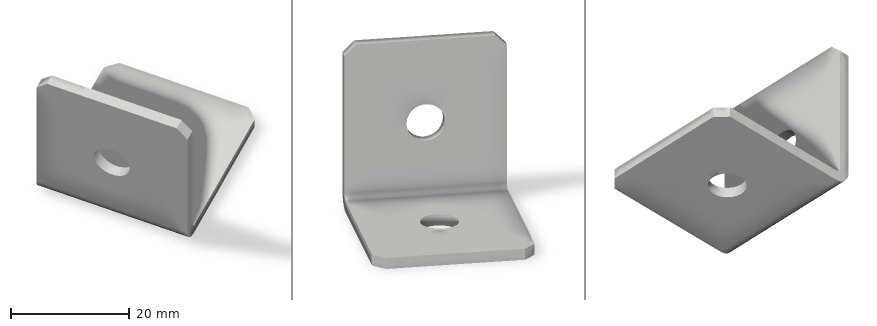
import cadquery as cq

leg_length = 30.0
width = 28.0
thickness = 2.0
inner_bend_radius = 1.0
corner_chamfer = 2.0
hole_diameter = 6.6

outer_bend_radius = inner_bend_radius + thickness
hole_offset = leg_length / 2


def bent_sheet():
    """Angle with equal legs: one along +Y on the bottom, one along +Z at Y = 0."""
    outer = cq.Workplane("XY").box(width, leg_length, leg_length, centered=(True, False, False))
    outer = outer.edges("|X and <Y and <Z").fillet(outer_bend_radius)
    inner_length = leg_length - thickness
    inner = cq.Workplane("XY").box(width, inner_length, inner_length, centered=(True, False, False))
    inner = inner.edges("|X and <Y and <Z").fillet(inner_bend_radius)
    return outer.cut(inner.translate((0, thickness, thickness)))


def chamfer_free_corners(sheet):
    """Cut both corners at the free end of each leg."""
    sheet = sheet.faces(">Z").edges("|Y").chamfer(corner_chamfer)
    return sheet.faces(">Y").edges("|Z").chamfer(corner_chamfer)


def drill_holes(sheet):
    """Put one central through hole in each leg."""
    radius = hole_diameter / 2
    bottom_hole = cq.Workplane("XY").center(0, hole_offset).circle(radius).extrude(thickness)
    upright_hole = cq.Workplane("XZ").center(0, hole_offset).circle(radius).extrude(-thickness)
    return sheet.cut(bottom_hole).cut(upright_hole)


result = drill_holes(chamfer_free_corners(bent_sheet()))